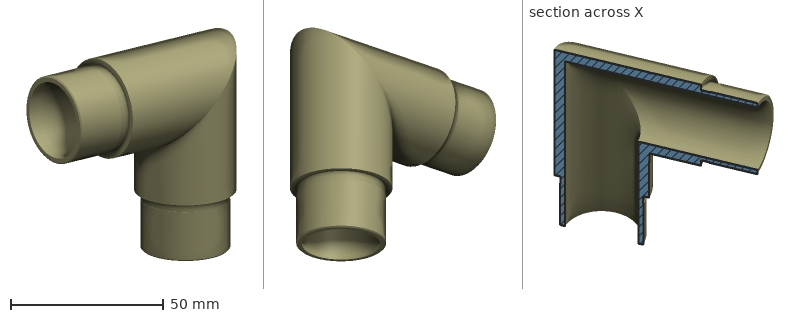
import cadquery as cq

leg_length = 72.0
sleeve_diameter = 33.7
spigot_diameter = 29.6
groove_diameter = 29.2
bore_diameter = 25.7
spigot_length = 20.0
groove_width = 3.0
end_chamfer = 0.4

sleeve_radius = sleeve_diameter / 2
axis_reach = leg_length - sleeve_radius
sleeve_reach = axis_reach - spigot_length


def mitred_cylinder(diameter, reach):
    """Vertical cylinder down to -reach, cut at 45 degrees through the axis crossing."""
    radius = diameter / 2
    cylinder = cq.Workplane("XY").workplane(offset=-reach).circle(radius).extrude(reach + radius)
    keep_below_mitre = (
        cq.Workplane("YZ")
        .polyline([(-radius, -reach), (radius, -reach), (radius, radius), (-radius, -radius)])
        .close()
        .extrude(radius, both=True)
    )
    return cylinder.intersect(keep_below_mitre)


def turn_to_horizontal(leg):
    """Copy of a vertical leg mirrored in the mitre plane, so that it points along -Y."""
    return leg.mirror("XZ").rotate((0, 0, 0), (1, 0, 0), -90)


def make_spigot():
    """Grooved and chamfered end of the vertical leg."""
    groove = (
        cq.Workplane("XY")
        .workplane(offset=-sleeve_reach)
        .circle(groove_diameter / 2)
        .extrude(-groove_width)
    )
    insert = (
        cq.Workplane("XY")
        .workplane(offset=-axis_reach)
        .circle(spigot_diameter / 2)
        .extrude(spigot_length - groove_width)
        .faces("<Z")
        .chamfer(end_chamfer)
    )
    return groove.union(insert)


def make_leg():
    sleeve = mitred_cylinder(sleeve_diameter, sleeve_reach)
    bore = mitred_cylinder(bore_diameter, axis_reach)
    return sleeve.union(make_spigot()).cut(bore)


vertical_leg = make_leg()
result = vertical_leg.union(turn_to_horizontal(vertical_leg))